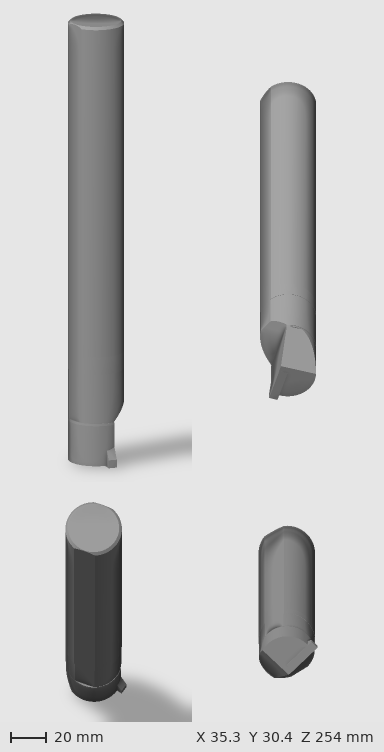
import cadquery as cq
import math

TOTAL_LENGTH = 254.0
JOINT_Z = 63.5
COLLAR_BOTTOM_Z = 53.5
FLAT_END_Z = 25.1
TIP_TOP_Z = 24.0
HOLDER_BOTTOM_Z = 0.8

SHANK_RADIUS = 15.7
NECK_STEP = 0.15
NECK_RADIUS = SHANK_RADIUS - NECK_STEP
TIP_RADIUS = 15.7
SHANK_AXIS_X = -0.3
FRONT_FLAT_Y = -14.5
BACK_FLAT_Y = 14.7
TOP_CHAMFER = 1.5

CLEARANCE_START_Y = 0.8
CLEARANCE_YAW = 17.0
CLEARANCE_LEAN = 26.0

RAKE_ANGLE = 15.5
RAMP_BOTTOM_Z = 25.5
RAMP_ANGLE = 45.0

INSERT_TIP_X = 19.3
INSERT_WIDTH = 19.3
INSERT_THICKNESS = 4.8
INSERT_NOSE_HEIGHT = 4.5
INSERT_FLANK_ANGLE = 60.0

CUT_SIZE = 4 * SHANK_RADIUS


def shank_cylinder(radius, bottom, top):
    return (
        cq.Workplane("XY", origin=(SHANK_AXIS_X, 0, bottom))
        .circle(radius)
        .extrude(top - bottom)
    )


def cut_flats(body):
    """Keep only what lies between the two flats facing -Y and +Y."""
    slab = cq.Workplane("XY").box(
        CUT_SIZE,
        BACK_FLAT_Y - FRONT_FLAT_Y,
        TOTAL_LENGTH,
        centered=(True, False, False),
    )
    return body.intersect(slab.translate((0, FRONT_FLAT_Y, FLAT_END_Z)))


def to_chip_face(body):
    """Carry a body from the XZ plane onto the angled chip face through the insert tip."""
    body = body.rotate((0, 0, 0), (0, 0, 1), -RAKE_ANGLE)
    return body.translate((INSERT_TIP_X, 0, 0))


def make_shank():
    shank = shank_cylinder(SHANK_RADIUS, JOINT_Z, TOTAL_LENGTH).faces(">Z").chamfer(TOP_CHAMFER)
    return cut_flats(shank)


def make_insert():
    """Triangular plate with an upright nose; its rake face lies in the chip face."""
    rise = math.tan(math.radians(INSERT_FLANK_ANGLE))
    half_run = (INSERT_WIDTH + INSERT_NOSE_HEIGHT / rise) / 2
    plate = (
        cq.Workplane("XZ")
        .polyline([
            (-INSERT_WIDTH, 0),
            (0, 0),
            (0, INSERT_NOSE_HEIGHT),
            (half_run - INSERT_WIDTH, half_run * rise),
        ])
        .close()
        .extrude(INSERT_THICKNESS)
    )
    return to_chip_face(plate)


def make_tip():
    """Round tip block with a short cone up to the end of the flats."""
    profile = (
        cq.Workplane("XZ")
        .polyline([
            (0, HOLDER_BOTTOM_Z),
            (TIP_RADIUS, HOLDER_BOTTOM_Z),
            (TIP_RADIUS, TIP_TOP_Z),
            (NECK_RADIUS, FLAT_END_Z),
            (0, FLAT_END_Z),
        ])
        .close()
    )
    return profile.revolve(360, (0, 0, 0), (0, 1, 0))


def make_clearance_cut():
    """Leaning wedge taken off the -X side, starting at the top of the tip block."""
    undercut = TIP_TOP_Z * math.tan(math.radians(CLEARANCE_LEAN))
    wedge = (
        cq.Workplane("XZ")
        .polyline([
            (0, 0),
            (undercut, -TIP_TOP_Z),
            (-CUT_SIZE, -TIP_TOP_Z),
            (-CUT_SIZE, 0),
        ])
        .close()
        .extrude(CUT_SIZE, both=True)
    )
    start_x = -math.sqrt(TIP_RADIUS ** 2 - CLEARANCE_START_Y ** 2)
    wedge = wedge.rotate((0, 0, 0), (0, 0, 1), -CLEARANCE_YAW)
    return wedge.translate((start_x, CLEARANCE_START_Y, TIP_TOP_Z))


def make_chip_cut():
    """Space above the chip face, closed at its upper end by a ramp."""
    ramp_top_z = RAMP_BOTTOM_Z + CUT_SIZE * math.tan(math.radians(RAMP_ANGLE))
    pocket = (
        cq.Workplane("YZ")
        .polyline([
            (0, -CUT_SIZE),
            (0, RAMP_BOTTOM_Z),
            (CUT_SIZE, ramp_top_z),
            (CUT_SIZE, -CUT_SIZE),
        ])
        .close()
        .extrude(CUT_SIZE, both=True)
    )
    return to_chip_face(pocket)


def make_holder(insert):
    collar = shank_cylinder(SHANK_RADIUS, COLLAR_BOTTOM_Z, JOINT_Z)
    neck = shank_cylinder(NECK_RADIUS, FLAT_END_Z, COLLAR_BOTTOM_Z)
    holder = cut_flats(collar.union(neck)).union(make_tip())
    holder = holder.cut(make_clearance_cut())
    holder = holder.cut(make_chip_cut())
    return holder.cut(insert)


shank = make_shank()
insert = make_insert()
holder = make_holder(insert)

result = cq.Compound.makeCompound([shank.solids().val(), holder.solids().val(), insert.val()])